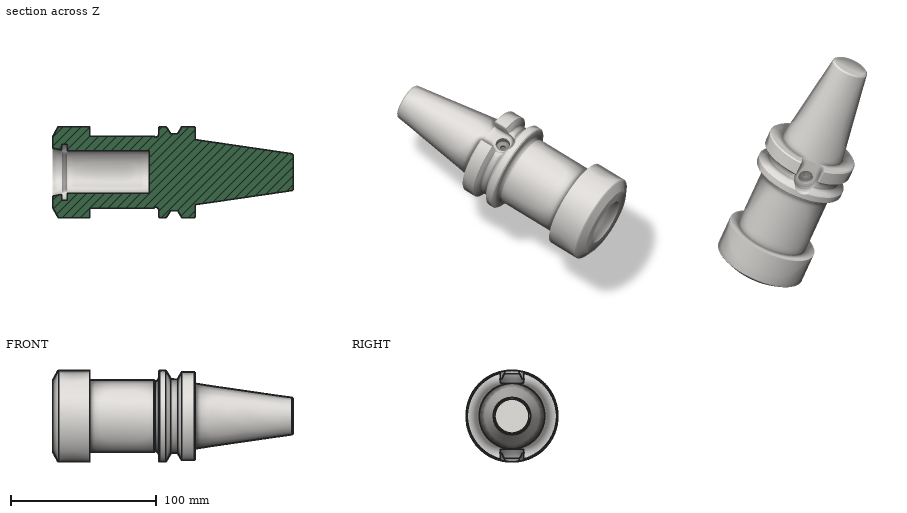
import cadquery as cq
import math


length = 165.4
outer_radius = 63.0 / 2

nut_length = 25.6
nut_bevel_length = 4.1
nut_face_radius = 24.5
nut_bevel_start_radius = 25.1
nut_edge_break = 0.7

body_radius = 25.0
relief_start = 69.5
relief_radius = 24.1
relief_fillet = 2.3

flange_start = 72.8
front_rim_end = 78.5
groove_start = 81.2
groove_end = 85.8
rear_rim_start = 88.7
flange_end = 98.0
groove_radius = 26.6
flange_edge_break = 0.8

taper_large_radius = 22.5
taper_half_slope = 7 / 48
taper_edge_break = 1.0
taper_end_radius = taper_large_radius - taper_half_slope * (length - flange_end)

mouth_radius = 16.4
mouth_taper_depth = 5.5
lip_radius = 30.5 / 2
lip_end = 6.6
undercut_radius = 19.0
shoulder_depth = 10.0
shoulder_bevel = 0.3
bore_radius = 14.4
bore_depth = 66.2

slot_center = 85.5
slot_half_width = 8.1
slot_floor = 22.7
slot_floor_fillet = 1.0
slot_flare_start = 29.1
slot_flare_height = 5.0
slot_flare_angle = 20.0
screw_recess_diameter = 10.0
screw_recess_depth = 5.0
socket_diameter = 4.0
socket_depth = 2.5
drill_point_half_angle = 59.0


def make_holder():
    """Revolve the outside of the nut, body, flange and taper about X."""
    fillet_center_radius = relief_radius + relief_fillet
    fillet_mid_offset = relief_fillet * math.sqrt(0.5)
    profile = (
        cq.Workplane("XY")
        .lineTo(0, nut_face_radius)
        .lineTo(nut_edge_break / 2, nut_bevel_start_radius)
        .lineTo(nut_bevel_length - nut_edge_break, outer_radius - nut_edge_break)
        .lineTo(nut_bevel_length, outer_radius)
        .lineTo(nut_length, outer_radius)
        .lineTo(nut_length, body_radius)
        .lineTo(relief_start, body_radius)
        .lineTo(flange_start - relief_fillet, relief_radius)
        .threePointArc(
            (flange_start - relief_fillet + fillet_mid_offset, fillet_center_radius - fillet_mid_offset),
            (flange_start, fillet_center_radius),
        )
        .lineTo(flange_start, outer_radius - flange_edge_break)
        .lineTo(flange_start + flange_edge_break, outer_radius)
        .lineTo(front_rim_end - flange_edge_break, outer_radius)
        .lineTo(front_rim_end, outer_radius - flange_edge_break)
        .lineTo(groove_start, groove_radius)
        .lineTo(groove_end, groove_radius)
        .lineTo(rear_rim_start - flange_edge_break / 2, outer_radius - flange_edge_break)
        .lineTo(rear_rim_start, outer_radius)
        .lineTo(flange_end - flange_edge_break, outer_radius)
        .lineTo(flange_end, outer_radius - flange_edge_break)
        .lineTo(flange_end, taper_large_radius)
        .lineTo(length - taper_edge_break, taper_end_radius + taper_half_slope * taper_edge_break)
        .lineTo(length, taper_end_radius - taper_edge_break)
        .lineTo(length, 0)
        .close()
    )
    return profile.revolve(360, (0, 0, 0), (1, 0, 0))


def make_bore():
    """Tapered mouth, lip, undercut and bevelled shoulder, then a narrower blind bore."""
    return (
        cq.Workplane("XY")
        .lineTo(0, mouth_radius)
        .lineTo(mouth_taper_depth, lip_radius)
        .lineTo(lip_end, lip_radius)
        .lineTo(lip_end, undercut_radius)
        .lineTo(shoulder_depth, undercut_radius)
        .lineTo(shoulder_depth, bore_radius + shoulder_bevel)
        .lineTo(shoulder_depth + shoulder_bevel, bore_radius)
        .lineTo(bore_depth, bore_radius)
        .lineTo(bore_depth, 0)
        .close()
        .revolve(360, (0, 0, 0), (1, 0, 0))
    )


def slot_outline(height):
    """Slot outline at the given height: a half-round end running straight out to the flange's rear."""
    slot_length = flange_end - slot_center
    return (
        cq.Workplane("XY", origin=(slot_center, 0, height))
        .moveTo(slot_length, -slot_half_width)
        .lineTo(0, -slot_half_width)
        .threePointArc((-slot_half_width, 0), (0, slot_half_width))
        .lineTo(slot_length, slot_half_width)
        .close()
    )


def make_drive_slot():
    """Round-ended slot open at the flange's rear, flared at the rim, with a screw recess in its floor."""
    floor = cq.Workplane("XY", origin=(slot_center, 0, slot_floor))
    slot = (
        slot_outline(slot_floor)
        .extrude(slot_flare_start - slot_floor)
        .edges("<Z and (not >X)")
        .fillet(slot_floor_fillet)
    )
    flare = slot_outline(slot_flare_start).extrude(slot_flare_height, taper=-slot_flare_angle)
    recess = floor.circle(screw_recess_diameter / 2).extrude(-screw_recess_depth)
    socket_radius = socket_diameter / 2
    point_depth = socket_radius / math.tan(math.radians(drill_point_half_angle))
    socket = (
        cq.Workplane("XZ", origin=(slot_center, 0, slot_floor - screw_recess_depth))
        .lineTo(socket_radius, 0)
        .lineTo(socket_radius, -socket_depth)
        .lineTo(0, -socket_depth - point_depth)
        .close()
        .revolve(360, (0, 0, 0), (0, 1, 0))
    )
    return slot.union(flare).union(recess).union(socket)


result = make_holder().cut(make_bore())
drive_slot = make_drive_slot()
for side_angle in (0, 180):
    result = result.cut(drive_slot.rotate((0, 0, 0), (1, 0, 0), side_angle))